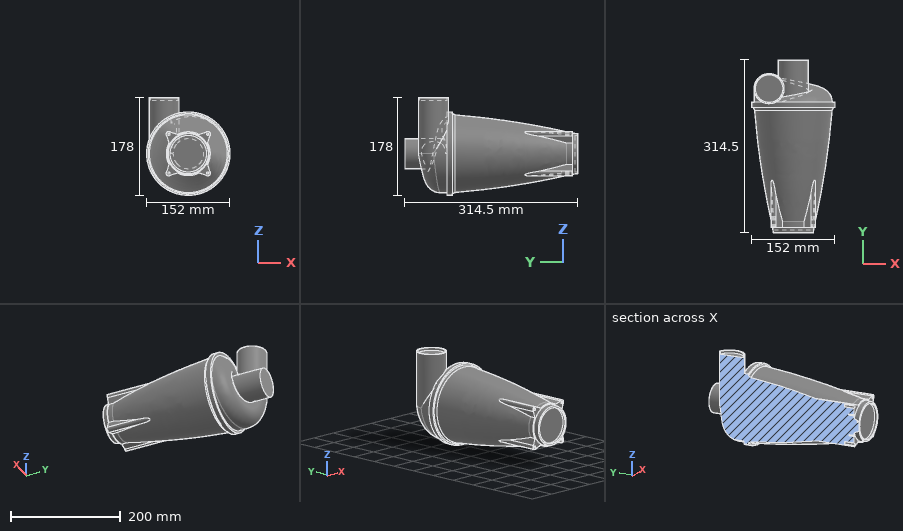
import cadquery as cq
import math


tube_diameter = 55.0
tube_bore = 50.0
tube_radius = tube_diameter / 2
recess_depth = 5.0
inlet_top = 102.0
outlet_end = 76.5

lid_radius = 71.5
lid_pitch = 52.0
lid_turn = 340.0
winding_radius = lid_radius - tube_radius
inlet_y = 24.5
trim_allowance = 2.0

flange_diameter = 152.0
flange_length = 10.0
taper_length = 5.0
taper_radius = 73.0
body_radius = 70.8
body_mid_radius = 59.5
collar_radius = 40.0
collar_length = 10.5
collar_end = -228.0
body_start = -(flange_length + taper_length)
collar_start = collar_end + collar_length
body_mid = -113.0

lip_length = 10.0
lip_root_radius = 38.0
lip_tip_radius = 36.5
lip_bore = 66.5
lip_end = collar_end - lip_length

boss_count = 4
first_boss_angle = 45.0
boss_radius = 5.0
boss_circle_radius = 50.0
boss_length = 100.0
web_half_angle = 16.0
screw_hole_diameter = 4.0
screw_hole_depth = 20.0


def cylinder_y(radius, start, end, x=0.0):
    """Cylinder along Y between two Y positions, centred at the given X."""
    base = cq.Vector(x, start, 0)
    return cq.Workplane(obj=cq.Solid.makeCylinder(radius, end - start, base, cq.Vector(0, 1, 0)))


def make_body():
    """Flange, barrel-shaped cone, collar and lip, turned about Y."""
    return (
        cq.Workplane("XY")
        .moveTo(0, 0)
        .lineTo(flange_diameter / 2, 0)
        .lineTo(flange_diameter / 2, -flange_length)
        .lineTo(taper_radius, -flange_length)
        .lineTo(body_radius, body_start)
        .threePointArc((body_mid_radius, body_mid), (collar_radius, collar_start))
        .lineTo(collar_radius, collar_end)
        .lineTo(lip_root_radius, collar_end)
        .lineTo(lip_tip_radius, lip_end)
        .lineTo(0, lip_end)
        .close()
        .revolve(360, (0, 0, 0), (0, 1, 0))
    )


def make_boss():
    """One boss with its web, lying towards +X, before the hole is drilled."""
    boss = cylinder_y(boss_radius, collar_end, collar_end + boss_length, x=boss_circle_radius)
    spread = math.radians(web_half_angle)
    root_x = collar_radius * math.cos(spread)
    root_z = collar_radius * math.sin(spread)
    web_outline = [
        (0, 0),
        (root_x, root_z),
        (boss_circle_radius, boss_radius),
        (boss_circle_radius, -boss_radius),
        (root_x, -root_z),
    ]
    web = (
        cq.Workplane("XZ", origin=(0, collar_end, 0))
        .polyline(web_outline)
        .close()
        .extrude(-boss_length)
    )
    return boss.union(web)


def sweep_down_spiral(section):
    """Sweep a section at the inlet down the helix of the lid, towards -Z and then +X."""
    origin = cq.Vector(0, 0, 0)
    path = (
        cq.Wire.makeHelix(lid_pitch, lid_pitch * lid_turn / 360, winding_radius)
        .rotate(origin, cq.Vector(1, 0, 0), 90)
        .rotate(origin, cq.Vector(0, 1, 0), 180)
        .translate(cq.Vector(0, inlet_y, 0))
    )
    return section.sweep(cq.Workplane(obj=path), isFrenet=True)


def make_spiral():
    """Spiral lid: a half-round roof on a cylindrical wall, trimmed inside the flange."""
    inner_x = tube_radius - winding_radius
    wall_foot = -flange_length / 2
    roof_section = (
        cq.Workplane("XY")
        .moveTo(-lid_radius, inlet_y)
        .threePointArc((-winding_radius, inlet_y + tube_radius), (inner_x, inlet_y))
        .close()
    )
    wall_outer_x = -(lid_radius + trim_allowance)
    wall_section = (
        cq.Workplane("XY")
        .moveTo(wall_outer_x, wall_foot)
        .lineTo(wall_outer_x, inlet_y)
        .lineTo(inner_x, inlet_y)
        .lineTo(inner_x, wall_foot)
        .close()
    )
    wall = sweep_down_spiral(wall_section).intersect(cylinder_y(lid_radius, wall_foot, inlet_y))
    roof_space = cylinder_y(flange_diameter / 2, wall_foot, outlet_end)
    roof = sweep_down_spiral(roof_section).intersect(roof_space)
    return wall.union(roof)


def make_inlet():
    """Vertical inlet tube with the lid wall that supports it on the flange."""
    tube = (
        cq.Workplane("XY")
        .center(-winding_radius, inlet_y)
        .circle(tube_radius)
        .extrude(inlet_top)
    )
    wall_space = (
        cq.Workplane("XY", origin=(-lid_radius, 0, 0))
        .box(lid_radius - winding_radius, inlet_y, lid_radius, centered=False)
    )
    wall = cylinder_y(lid_radius, 0, inlet_y).intersect(wall_space)
    return tube.union(wall)


def make_inlet_recess():
    """Shallow counterbore in the open end of the inlet tube."""
    return (
        cq.Workplane("XY", origin=(-winding_radius, inlet_y, inlet_top - recess_depth))
        .circle(tube_bore / 2)
        .extrude(recess_depth)
    )


def make_screw_hole():
    """Blind screw hole on the axis of the boss that lies towards +X."""
    hole_end = collar_end + screw_hole_depth
    return cylinder_y(screw_hole_diameter / 2, collar_end, hole_end, x=boss_circle_radius)


def turn_about_axis(shape, angle):
    """Copy of a shape turned about the body axis."""
    return shape.rotate((0, 0, 0), (0, 1, 0), angle)


outlet_tube = cylinder_y(tube_radius, -flange_length / 2, outlet_end)
lip_recess = cylinder_y(lip_bore / 2, lip_end, lip_end + recess_depth)
boss_angles = [first_boss_angle + i * 360 / boss_count for i in range(boss_count)]

result = make_body().union(make_spiral()).union(make_inlet()).union(outlet_tube)
for angle in boss_angles:
    result = result.union(turn_about_axis(make_boss(), angle))
for angle in boss_angles:
    result = result.cut(turn_about_axis(make_screw_hole(), angle))
result = result.cut(make_inlet_recess()).cut(lip_recess)